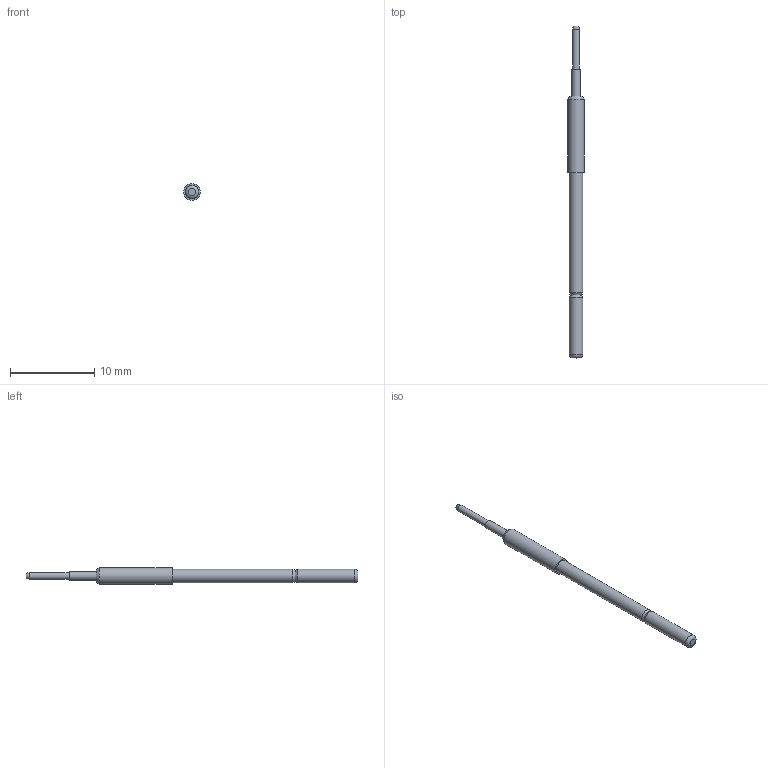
import cadquery as cq

TOTAL_LENGTH = 39.3

SHANK_RADIUS = 0.8
SHANK_END_ROUND = 0.37

GROOVE_CENTER = 7.45
GROOVE_WIDTH = 0.5
GROOVE_DEPTH = 0.15

COLLAR_RADIUS = 1.0
COLLAR_LENGTH = 9.0
COLLAR_BEVEL_LENGTH = 0.4
COLLAR_BEVEL_DEPTH = 0.24

NECK_RADIUS = 0.5
NECK_LENGTH = 3.2

TIP_RADIUS = 0.4
TIP_LENGTH = 5.1
TIP_NOSE_LENGTH = 0.37
TIP_NOSE_DEPTH = 0.1

TIP_START = TOTAL_LENGTH - TIP_LENGTH
NECK_START = TIP_START - NECK_LENGTH
COLLAR_START = NECK_START - COLLAR_LENGTH


def make_body():
    """Turned body: half outline in X (radius) and Y (axis), spun about Y."""
    outline = (
        cq.Workplane("XY")
        .lineTo(SHANK_RADIUS - SHANK_END_ROUND, 0)
        .tangentArcPoint((SHANK_RADIUS, SHANK_END_ROUND), relative=False)
        .lineTo(SHANK_RADIUS, COLLAR_START)
        .lineTo(COLLAR_RADIUS, COLLAR_START)
        .lineTo(COLLAR_RADIUS, NECK_START - COLLAR_BEVEL_LENGTH)
        .lineTo(COLLAR_RADIUS - COLLAR_BEVEL_DEPTH, NECK_START)
        .lineTo(NECK_RADIUS, NECK_START)
        .lineTo(NECK_RADIUS, TIP_START)
        .lineTo(TIP_RADIUS, TIP_START)
        .lineTo(TIP_RADIUS, TOTAL_LENGTH - TIP_NOSE_LENGTH)
        .tangentArcPoint((TIP_RADIUS - TIP_NOSE_DEPTH, TOTAL_LENGTH), relative=False)
        .lineTo(0, TOTAL_LENGTH)
        .close()
    )
    return outline.revolve(360, (0, 0, 0), (0, 1, 0))


def make_groove():
    """Ring with a V-shaped section that cuts the groove around the shank."""
    half_width = GROOVE_WIDTH / 2
    section = (
        cq.Workplane("XY")
        .moveTo(SHANK_RADIUS, GROOVE_CENTER - half_width)
        .lineTo(SHANK_RADIUS - GROOVE_DEPTH, GROOVE_CENTER)
        .lineTo(SHANK_RADIUS, GROOVE_CENTER + half_width)
        .close()
    )
    return section.revolve(360, (0, 0, 0), (0, 1, 0))


result = make_body().cut(make_groove())